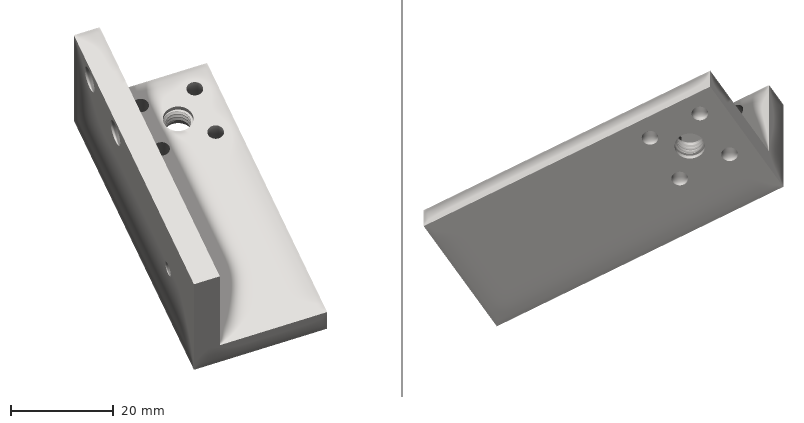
import cadquery as cq
import math

length = 65.0
leg = 27.8
leg_thickness = 5.4
shell_wall = 1.0

bolt_hole_diameter = 5.25
bolt_hole_x = 8.5
bolt_hole_pitch = 14.0
bolt_hole_z = 24.05
small_hole_diameter = 3.0
small_hole_x = 50.95
small_hole_z = 15.3

group_x = 10.65
group_y = 17.7
corner_hole_diameter = 3.25
corner_hole_pitch = 11.3
shell_bore_diameter = 6.0

thread_minor_diameter = 5.0
thread_major_diameter = 6.2
thread_pitch = 1.0
thread_root_flat = 0.1
thread_flank_angle = 60.0
groove_start_angle = 270.0
thread_phase = 190.0
thread_lead_in = 1.0
thread_overlap = 0.05


def angle_bar(inset):
    """L-section bar whose outline lies `inset` inside the outer faces."""
    near = inset
    far = leg - inset
    inner = leg_thickness - inset
    outline = [
        (near, near),
        (far, near),
        (far, inner),
        (inner, inner),
        (inner, far),
        (near, far),
    ]
    return cq.Workplane("YZ").polyline(outline).close().extrude(length)


def hole_along_y(x, z, diameter):
    """Cutter that passes through the upright leg."""
    return cq.Workplane("XZ", origin=(x, 0, z)).circle(diameter / 2).extrude(-leg)


def hole_along_z(x, y, diameter):
    """Cutter that passes through the flat leg."""
    return cq.Workplane("XY", origin=(x, y, 0)).circle(diameter / 2).extrude(leg_thickness)


def drill_plain_holes(body):
    """Cut the holes that run at one diameter through both shell and core."""
    for x in (bolt_hole_x, bolt_hole_x + bolt_hole_pitch):
        body = body.cut(hole_along_y(x, bolt_hole_z, bolt_hole_diameter))
    body = body.cut(hole_along_y(small_hole_x, small_hole_z, small_hole_diameter))
    for x_side in (-1, 1):
        for y_side in (-1, 1):
            x = group_x + x_side * corner_hole_pitch / 2
            y = group_y + y_side * corner_hole_pitch / 2
            body = body.cut(hole_along_z(x, y, corner_hole_diameter))
    return body


def thread_groove():
    """Helical cutter with a flat root, running out past both faces of the core."""
    inner_radius = thread_minor_diameter / 2 - thread_overlap
    root_radius = thread_major_diameter / 2
    half_root = thread_root_flat / 2
    half_mouth = half_root + (root_radius - inner_radius) * math.tan(math.radians(thread_flank_angle / 2))
    start_z = shell_wall - thread_lead_in
    height = leg_thickness - 2 * shell_wall + 2 * thread_lead_in
    helix = cq.Wire.makeHelix(thread_pitch, height, inner_radius)
    profile = [
        (inner_radius, -half_mouth),
        (root_radius, -half_root),
        (root_radius, half_root),
        (inner_radius, half_mouth),
    ]
    groove = cq.Workplane("XZ").polyline(profile).close().sweep(cq.Workplane(helix), isFrenet=True)
    groove = groove.rotate((0, 0, 0), (0, 0, 1), groove_start_angle)
    return groove.translate((0, 0, start_z))


def threaded_hole():
    """Cutter for the threaded hole: minor bore fused with the thread groove."""
    bore = hole_along_z(0, 0, thread_minor_diameter)
    cutter = bore.union(thread_groove())
    return cutter.rotate((0, 0, 0), (0, 0, 1), thread_phase).translate((group_x, group_y, 0))


def make_core():
    """Inner angle bar with plain holes and a threaded hole."""
    body = drill_plain_holes(angle_bar(shell_wall))
    return body.cut(threaded_hole())


def make_shell():
    """Sleeve around the core, open at both ends."""
    body = angle_bar(0).cut(angle_bar(shell_wall))
    body = drill_plain_holes(body)
    return body.cut(hole_along_z(group_x, group_y, shell_bore_diameter))


core = make_core()
shell = make_shell()
result = cq.Compound.makeCompound([core.val(), shell.val()])